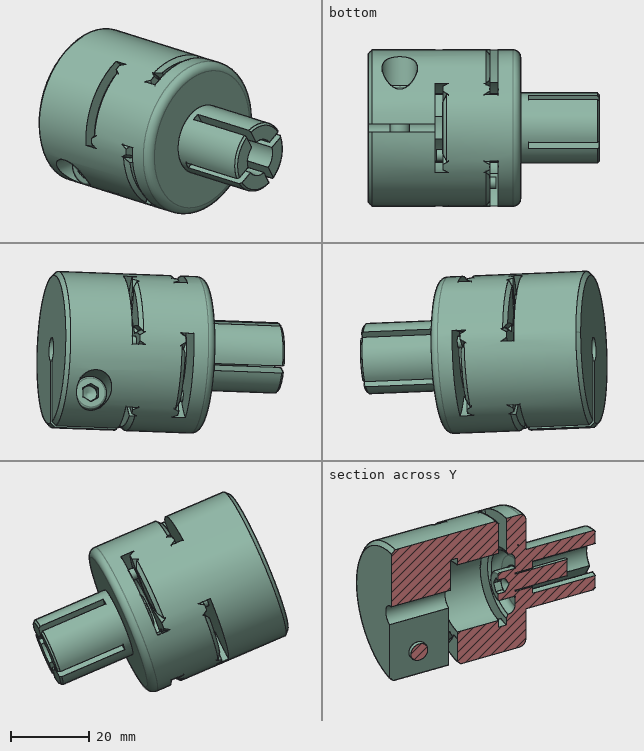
import cadquery as cq
import math


total_length = 59.0
outer_radius = 40.0 / 2
edge_chamfer = 1.05
trim_allowance = 1.2
stock_radius = outer_radius + trim_allowance

clamp_hub_face = 17.1
shaft_jaw_end = 19.0
clamp_jaw_end = 31.1
shaft_hub_face = 33.15
shaft_hub_back = 38.95
shaft_hub_round = 2.0

jaw_count = 3
jaw_pitch = 360 / jaw_count
clamp_jaw_angle = 90
shaft_jaw_angle = clamp_jaw_angle + jaw_pitch / 2
jaw_inner_radius = 12.05
arm_root_half = 3.35
arm_tip_half = 1.65
arm_recess = 0.05
arm_bevel_depth = 1.4
arm_bevel_width = 0.8
ring_bore_radius = 10.05
ring_outer_radius = 13.0
button_diameter = 3.0
button_orbit = 14.0
button_height = 1.6

bore_diameter = 6.0
slit_width = 2.0

head_diameter = 8.5
head_height = 5.0
head_round = 0.5
shank_diameter = 5.0
clearance_diameter = 5.4
head_pocket_diameter = 9.0
hex_flats = 4.0
hex_depth = 2.0
hex_cone_depth = 1.2
clamp_screw_x = 8.1
clamp_screw_z = -12.85
clamp_head_top = -10.8
clamp_screw_length = 17.7
clamp_hex_turn = 30
shaft_head_top = 30.8
shaft_screw_length = 20.05

shaft_radius = 18.0 / 2
shaft_chamfer = 0.55
shaft_bore_diameter = 9.5
shaft_slot_start = 40.9
shaft_slot_width = 1.9
shaft_slot_count = 4
shaft_slot_angle = 30

recess_radius = 18.0 / 2
recess_depth = 2.5
recess_round = 1.95
recess_mouth_depth = 0.55


def cylinder(radius, start, end):
    """Cylinder on the X axis between two X positions."""
    return cq.Workplane("YZ").workplane(offset=start).circle(radius).extrude(end - start)


def turned(solid, angle):
    return solid.rotate((0, 0, 0), (1, 0, 0), angle)


def polar(radius, angle):
    return (radius * math.cos(math.radians(angle)), radius * math.sin(math.radians(angle)))


arm_root = math.sqrt(jaw_inner_radius**2 - arm_root_half**2)
arm_tip = math.sqrt(outer_radius**2 - arm_tip_half**2)
flank_length = arm_tip - arm_root
flank_drop = arm_root_half - arm_tip_half
flank_radius = (flank_length**2 + flank_drop**2) / (2 * flank_drop)

stock_tip = stock_radius + trim_allowance
stock_mid = (arm_root + stock_tip) / 2


def half_width(along):
    """Half the width of an arm at a distance from the X axis."""
    return arm_root_half - flank_radius + math.sqrt(flank_radius**2 - (along - arm_root) ** 2)


def flank_point(along, across, arm_angle):
    """Point given along and across an arm that lies at arm_angle."""
    return polar(math.hypot(along, across), arm_angle + math.degrees(math.atan2(across, along)))


def jaw(start, end):
    """Jaw on +Y between two arms, with its end face bevelled along the flanks and the outside."""
    low = -jaw_pitch / 4
    high = jaw_pitch / 4
    profile = (
        cq.Workplane("YZ").workplane(offset=start)
        .moveTo(*flank_point(arm_root, arm_root_half, low))
        .threePointArc(
            flank_point(stock_mid, half_width(stock_mid), low),
            flank_point(stock_tip, half_width(stock_tip), low),
        )
        .threePointArc((stock_tip, 0), flank_point(stock_tip, -half_width(stock_tip), high))
        .threePointArc(
            flank_point(stock_mid, -half_width(stock_mid), high),
            flank_point(arm_root, -arm_root_half, high),
        )
        .threePointArc((jaw_inner_radius, 0), flank_point(arm_root, arm_root_half, low))
        .close()
    )
    end_face = ">X" if end > start else "<X"
    blade = profile.extrude(end - start)
    blade = blade.faces(end_face).edges(">Z or <Z").chamfer(edge_chamfer)
    rim = cylinder(stock_radius, min(start, end), max(start, end))
    rim = rim.faces(end_face).edges().chamfer(edge_chamfer + trim_allowance)
    return blade.intersect(rim)


def spider_arm(start, end):
    """Arm along +Y, tapering over a short length at both ends."""
    outline = (
        cq.Workplane("YZ")
        .moveTo(arm_root, arm_root_half)
        .threePointArc((stock_mid, half_width(stock_mid)), (stock_tip, half_width(stock_tip)))
        .lineTo(stock_tip, -half_width(stock_tip))
        .threePointArc((stock_mid, -half_width(stock_mid)), (arm_root, -arm_root_half))
        .close()
    )
    taper = math.degrees(math.atan2(arm_bevel_width, arm_bevel_depth))
    straight_half = (end - start) / 2 - arm_bevel_depth
    tapered_end = outline.extrude(arm_bevel_depth, taper=taper).translate((straight_half, 0, 0))
    arm = outline.toPending().extrude(straight_half, both=True)
    arm = arm.union(tapered_end).union(tapered_end.mirror("YZ"))
    return arm.translate(((start + end) / 2, 0, 0))


def cap_screw(length):
    """Screw along +X from the top of its head, with a hexagon socket."""
    head = cylinder(head_diameter / 2, 0, head_height).faces("<X").edges().fillet(head_round)
    socket = (
        cq.Workplane("YZ").polygon(6, hex_flats / math.cos(math.radians(30))).extrude(hex_depth)
    )
    cone = cq.Workplane(
        cq.Solid.makeCone(hex_flats / 2, 0, hex_cone_depth, cq.Vector(hex_depth, 0, 0), cq.Vector(1, 0, 0))
    )
    return head.union(cylinder(shank_diameter / 2, head_height, length)).cut(socket).cut(cone)


def at_clamp_screw(solid):
    """Turn a solid on the X axis to point along +Y and move it onto the clamp screw axis."""
    return solid.rotate((0, 0, 0), (0, 0, 1), 90).translate((clamp_screw_x, 0, clamp_screw_z))


def clamp_hub():
    hub = cylinder(stock_radius, 0, clamp_hub_face)
    hub = hub.cut(cylinder(bore_diameter / 2, 0, clamp_hub_face))
    slit = cq.Workplane("XY").box(
        clamp_hub_face, slit_width, stock_radius, centered=(False, True, False)
    )
    hub = hub.cut(slit.translate((0, 0, -stock_radius)))
    seat = clamp_head_top + head_height
    hub = hub.cut(at_clamp_screw(cylinder(head_pocket_diameter / 2, -stock_radius, seat)))
    hub = hub.cut(at_clamp_screw(cylinder(clearance_diameter / 2, seat, 0)))
    for index in range(jaw_count):
        blade = jaw(clamp_hub_face, clamp_jaw_end)
        hub = hub.union(turned(blade, clamp_jaw_angle + index * jaw_pitch))
    return hub


def shaft_hub():
    flange = cylinder(stock_radius, shaft_hub_face, shaft_hub_back)
    hub = flange.union(cylinder(shaft_radius, shaft_hub_back, total_length))

    recess_floor = shaft_hub_face + recess_depth
    recess = cylinder(recess_radius, shaft_hub_face, recess_floor)
    hub = hub.cut(recess.faces(">X").edges().fillet(recess_round))
    mouth = cq.Solid.makeCone(
        ring_bore_radius, recess_radius, recess_mouth_depth,
        cq.Vector(shaft_hub_face, 0, 0), cq.Vector(1, 0, 0),
    )
    hub = hub.cut(cq.Workplane(mouth))

    seat = shaft_head_top + head_height
    hub = hub.cut(cylinder(head_pocket_diameter / 2, shaft_hub_face, seat))
    hub = hub.cut(cylinder(clearance_diameter / 2, seat, total_length))
    hub = hub.cut(cylinder(shaft_bore_diameter / 2, shaft_slot_start, total_length))
    slot = cq.Workplane("XY").box(
        total_length - shaft_slot_start, shaft_radius, shaft_slot_width, centered=(False, False, True)
    )
    for index in range(shaft_slot_count):
        angle = shaft_slot_angle + index * 360 / shaft_slot_count
        hub = hub.cut(turned(slot.translate((shaft_slot_start, 0, 0)), angle))
    hub = hub.union(cap_screw(shaft_screw_length).translate((shaft_head_top, 0, 0)))
    for index in range(jaw_count):
        blade = jaw(shaft_hub_face, shaft_jaw_end)
        hub = hub.union(turned(blade, shaft_jaw_angle + index * jaw_pitch))
    return hub


def spider():
    """Ring with two arms per jaw; buttons alternate between its two faces."""
    start = shaft_jaw_end + arm_recess
    end = clamp_jaw_end - arm_recess
    body = cylinder(ring_outer_radius, start, end).cut(cylinder(ring_bore_radius, start, end))
    arm = spider_arm(start, end)
    button = cylinder(button_diameter / 2, 0, button_height).translate((0, button_orbit, 0))
    for index in range(2 * jaw_count):
        angle = index * jaw_pitch / 2
        button_start = end if index % 2 == 0 else start - button_height
        body = body.union(turned(arm, angle))
        body = body.union(turned(button.translate((button_start, 0, 0)), angle))
    return body


def envelope():
    """Turned outside of the whole coupling."""
    body = cylinder(outer_radius, 0, shaft_hub_back)
    body = body.faces("<X").edges().chamfer(edge_chamfer)
    body = body.faces(">X").edges().fillet(shaft_hub_round)
    shaft = cylinder(shaft_radius, shaft_hub_back, total_length)
    return body.union(shaft.faces(">X").edges().chamfer(shaft_chamfer))


coupling = clamp_hub().union(spider(), clean=False).union(shaft_hub(), clean=False)
coupling = envelope().intersect(coupling, clean=False)
clamp_screw = turned(cap_screw(clamp_screw_length), clamp_hex_turn)
clamp_screw = clamp_screw.translate((clamp_head_top, 0, 0))
result = coupling.union(at_clamp_screw(clamp_screw), clean=False)